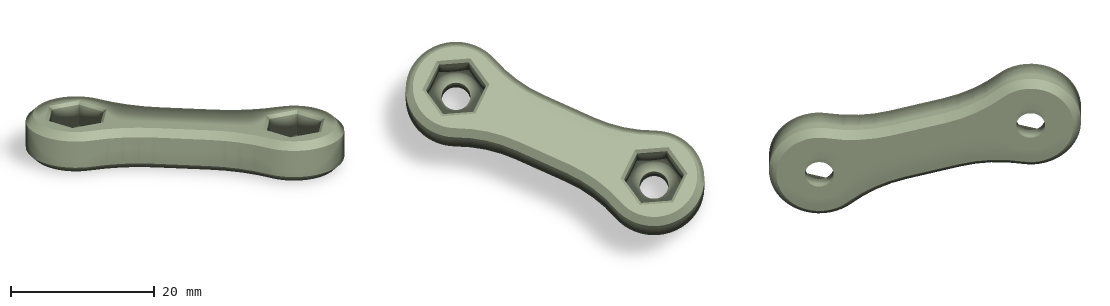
import cadquery as cq
import math

hole_spacing = 30.47
link_angle = 35.5
thickness = 6.0
edge_chamfer = 1.0

end_diameter = 14.0
neck_half_width = 4.5
blend_radius = 20.0

bore_diameter = 4.0
nut_flats = 7.25
nut_turn = -30.0
nut_lead_in = 0.43
floor_diameter = 7.0
floor_cone_slope = 30.0
pocket_depth = 4.0

end_radius = end_diameter / 2
end_x = hole_spacing / 2
blend_y = neck_half_width + blend_radius
center_distance = end_radius + blend_radius
blend_x = end_x - math.sqrt(center_distance**2 - blend_y**2)
tangent_ratio = end_radius / center_distance
tangent_x = end_x + (blend_x - end_x) * tangent_ratio
tangent_y = blend_y * tangent_ratio

blend_half_angle = math.atan2(end_x - blend_x, blend_y) / 2
blend_mid_x = blend_x + blend_radius * math.sin(blend_half_angle)
blend_mid_y = blend_y - blend_radius * math.cos(blend_half_angle)


def make_body():
    outline = (
        cq.Workplane("XY")
        .moveTo(-blend_x, neck_half_width)
        .lineTo(blend_x, neck_half_width)
        .threePointArc((blend_mid_x, blend_mid_y), (tangent_x, tangent_y))
        .threePointArc((end_x + end_radius, 0), (tangent_x, -tangent_y))
        .threePointArc((blend_mid_x, -blend_mid_y), (blend_x, -neck_half_width))
        .lineTo(-blend_x, -neck_half_width)
        .threePointArc((-blend_mid_x, -blend_mid_y), (-tangent_x, -tangent_y))
        .threePointArc((-end_x - end_radius, 0), (-tangent_x, tangent_y))
        .threePointArc((-blend_mid_x, blend_mid_y), (-blend_x, neck_half_width))
        .close()
    )
    return outline.extrude(thickness).faces("|Z").edges().chamfer(edge_chamfer)


def hexagon(z, flats):
    corner_diameter = flats / math.cos(math.pi / 6)
    return cq.Workplane("XY").workplane(offset=z).polygon(6, corner_diameter)


def make_stepped_hole():
    """Cutter for one hole, centred on the Z axis."""
    floor_z = thickness - pocket_depth
    pocket = hexagon(floor_z, nut_flats).extrude(pocket_depth)

    cone_run = pocket_depth / math.tan(math.radians(floor_cone_slope))
    floor_cone = (
        cq.Workplane("XY")
        .workplane(offset=floor_z)
        .circle(floor_diameter / 2)
        .workplane(offset=pocket_depth)
        .circle(floor_diameter / 2 + cone_run)
        .loft(ruled=True)
    )

    lead_in = (
        hexagon(thickness - nut_lead_in, nut_flats)
        .workplane(offset=nut_lead_in)
        .polygon(6, (nut_flats + 2 * nut_lead_in) / math.cos(math.pi / 6))
        .loft(ruled=True)
    )
    bore = cq.Workplane("XY").circle(bore_diameter / 2).extrude(thickness)
    return pocket.intersect(floor_cone).union(lead_in).union(bore)


link = make_body()
for x in (-end_x, end_x):
    hole = make_stepped_hole().rotate((0, 0, 0), (0, 0, 1), nut_turn)
    link = link.cut(hole.translate((x, 0, 0)))

result = link.rotate((0, 0, 0), (0, 0, 1), link_angle)